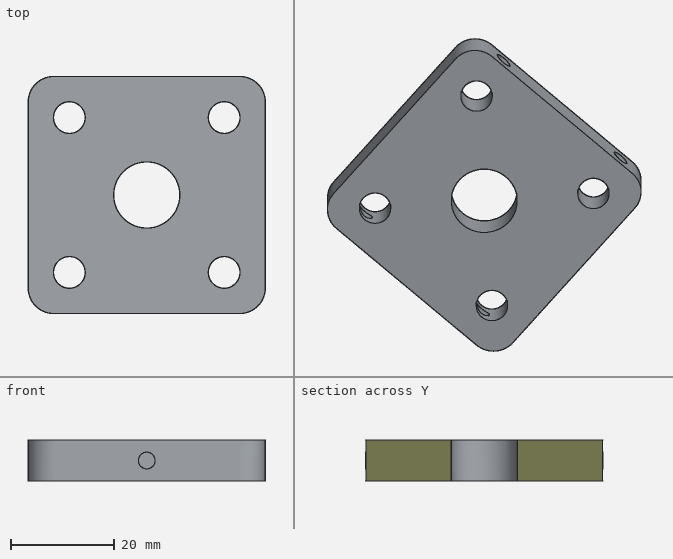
import cadquery as cq

plate_side = 46.0
plate_thickness = 8.0
corner_radius = 5.0

bore_diameter = 12.78
bolt_hole_diameter = 6.1
bolt_spacing = 30.0

screw_hole_diameter = 3.24
blind_hole_depth = 8.0

half_side = plate_side / 2
half_spacing = bolt_spacing / 2


def rounded_plate():
    """Square plate, bottom face on Z = 0, with rounded vertical corners."""
    plate = cq.Workplane("XY").rect(plate_side, plate_side).extrude(plate_thickness)
    return plate.edges("|Z").fillet(corner_radius)


def vertical_holes():
    """Central bore and the four bolt holes, all passing through the plate."""
    bore = cq.Workplane("XY").circle(bore_diameter / 2).extrude(plate_thickness)
    bolt_holes = (
        cq.Workplane("XY")
        .rect(bolt_spacing, bolt_spacing, forConstruction=True)
        .vertices()
        .circle(bolt_hole_diameter / 2)
        .extrude(plate_thickness)
    )
    return bore.union(bolt_holes)


def screw_hole(start_x, start_y, direction, depth):
    """Horizontal hole starting on a side face and running inward."""
    start = cq.Vector(start_x, start_y, plate_thickness / 2)
    return cq.Solid.makeCylinder(screw_hole_diameter / 2, depth, start, cq.Vector(*direction))


def bolt_screw_holes():
    """Screw holes from both X sides, each ending on the axis of the bolt hole it meets."""
    depth = half_side - half_spacing
    return [
        screw_hole(x_sign * half_side, y_sign * half_spacing, (-x_sign, 0, 0), depth)
        for x_sign in (-1, 1)
        for y_sign in (-1, 1)
    ]


def blind_side_hole():
    """Flat-bottomed hole centred on the -Y side, stopping short of the bore."""
    return screw_hole(0, -half_side, (0, 1, 0), blind_hole_depth)


result = rounded_plate().cut(vertical_holes())
for hole in bolt_screw_holes():
    result = result.cut(hole)
result = result.cut(blind_side_hole())